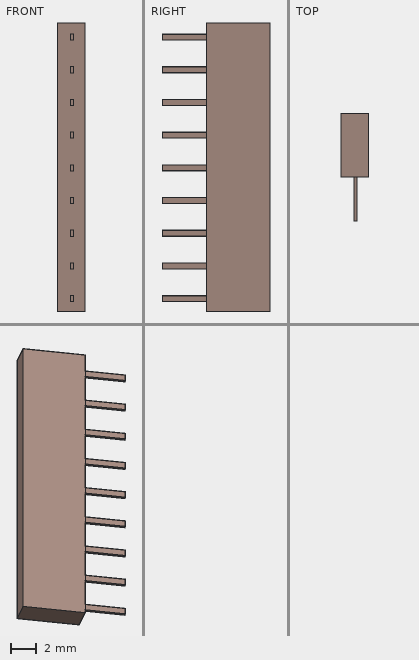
import cadquery as cq

body_width = 2.16
body_height = 22.45

pin_count = 9
pin_pitch = 2.54
pin_length = 3.43
pin_thickness = 0.25
pin_height = 0.48
pin_row_x = 0.06
pin_row_z = -0.045

overall_depth = 8.38
body_depth = overall_depth - pin_length


def make_body():
    """Housing with its pin face on Y = 0, centred on X and Z."""
    return cq.Workplane("XY").box(body_width, body_depth, body_height, centered=(True, False, True))


def make_pin(z_center):
    """Flat pin reaching from the housing face toward -Y."""
    pin = cq.Workplane("XY").box(pin_thickness, pin_length, pin_height, centered=(True, False, True))
    return pin.translate((pin_row_x, -pin_length, z_center))


result = make_body()
lowest_pin_z = pin_row_z - (pin_count - 1) / 2 * pin_pitch
for index in range(pin_count):
    result = result.union(make_pin(lowest_pin_z + index * pin_pitch))